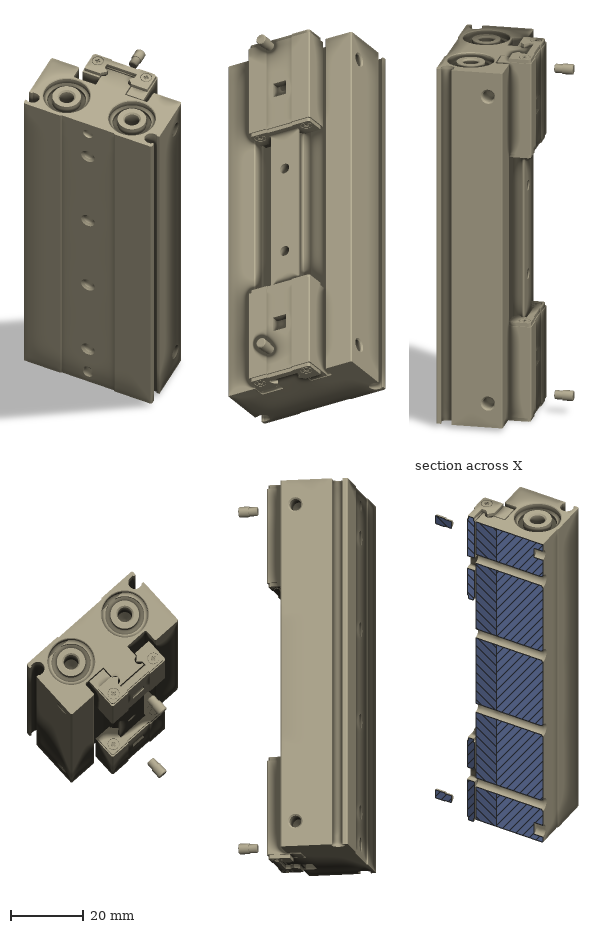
import cadquery as cq
import math


total_length = 106.0
plate_thickness = 1.1
housing_length = total_length - 2 * plate_thickness

housing_width = 40.0
housing_height = 19.0
foot_width = 39.4
foot_fillet = 0.5
edge_chamfer = 0.3
channel_width = 22.7
channel_floor = 14.9
channel_fillet = 0.5
seat_rise = 0.3
seat_height = channel_floor + seat_rise
relief_width = 16.5
relief_depth = 0.3

groove_mouth_top = 4.5
groove_mouth_bottom = 1.5
groove_lip = 1.0
groove_diameter = 3.7
groove_center_x = 18.1

bore_spacing = 20.0
bore_height = 7.7
bore_diameter = 13.0
bore_chamfer = 0.2
recess_depth = 2.8
ring_inner_diameter = 10.8
ring_thickness = 1.0
ring_end_drop = 5.3
boss_diameter = 8.0
boss_setback = 0.4
boss_hole_diameter = 4.1
boss_hole_mouth = 5.0
boss_hole_depth = 7.4

bolt_pitch = 26.0
bolt_diameter = 3.0
bolt_mouth = 4.1
locator_offset = 48.0
locator_diameter = 3.0
locator_slot_length = 3.9
locator_depth = 3.2
port_offset = 44.9
port_height = 14.8
port_diameter = 3.3
port_mouth = 4.1
port_depth = 5.3
drill_tip_angle = 118.0

rail_width = 8.9
rail_top = 21.8
rail_groove_radius = 1.3
rail_groove_height = 19.9

carriage_length = 28.8
block_width = 19.9
block_top = 24.9
block_chamfer = 0.3
block_opening_width = 9.5
block_opening_top = 22.2
short_leg_bottom = 17.8
plate_width = 19.3
plate_top = 24.6
plate_bottom = 18.4
plate_chamfer = 0.5
plate_opening_width = 9.2
plate_opening_top = 22.5
tooth_reach = 1.2
tooth_half_height = 1.2
top_dip_width = 8.1
top_dip_depth = 0.3
screw_spacing = 14.8
screw_height = 22.5
screw_seat_diameter = 3.3
screw_head_diameter = 3.0
screw_seat_depth = 0.4
cross_length = 1.5
cross_width = 0.5
window_width = 4.2
window_length = 4.2

pin_top = 34.8
pin_offset = 47.8
pin_head_diameter = 3.0
pin_head_length = 3.0
pin_tip_diameter = 2.5
pin_tip_length = 2.3
pin_chamfer = 0.2

housing_end = housing_length / 2
carriage_end = total_length / 2
carriage_start = carriage_end - carriage_length
bolt_positions = [(i - 1.5) * bolt_pitch for i in range(4)]


def block(width, y_low, y_high, z_low, z_high):
    """A box centred on X = 0 between the given Y and Z limits."""
    return (
        cq.Workplane("XY")
        .box(width, y_high - y_low, z_high - z_low, centered=(True, False, False))
        .translate((0, y_low, z_low))
    )


def rod(diameter, length, start, direction):
    """A plain cylinder that begins at start and runs along direction."""
    return cq.Workplane(cq.Solid.makeCylinder(diameter / 2, length, cq.Vector(*start), cq.Vector(*direction)))


def cone(diameter_1, diameter_2, length, start, direction):
    """A cone that begins at start with diameter_1 and runs along direction."""
    return cq.Workplane(
        cq.Solid.makeCone(diameter_1 / 2, diameter_2 / 2, length, cq.Vector(*start), cq.Vector(*direction))
    )


def countersink(mouth, diameter, start, direction):
    """A 45 degree conical mouth."""
    return cone(mouth, diameter, (mouth - diameter) / 2, start, direction)


def drilled_hole(diameter, mouth, depth, start, direction):
    """A blind hole with a chamfered mouth and a conical drill tip."""
    tip_length = diameter / 2 / math.tan(math.radians(drill_tip_angle / 2))
    tip_start = [s + depth * d for s, d in zip(start, direction)]
    hole = rod(diameter, depth, start, direction)
    hole = hole.union(cone(diameter, 0, tip_length, tip_start, direction))
    return hole.union(countersink(mouth, diameter, start, direction))


def make_housing_profile():
    """Full-length body with the slide channel, rail seat, mounting relief and sensor grooves."""
    body = block(housing_width, 0, housing_height, -housing_end, housing_end)
    channel = block(channel_width, channel_floor, housing_height, -housing_end, housing_end)
    body = body.cut(channel.edges("|Z and <Y").fillet(channel_fillet))
    body = body.edges("|Z and >Y").chamfer(edge_chamfer)
    body = body.union(block(rail_width, channel_floor, seat_height, -housing_end, housing_end))

    relief = (
        cq.Workplane("XY", origin=(0, 0, -housing_end))
        .moveTo(-relief_width / 2, 0)
        .lineTo(-relief_width / 2 + relief_depth, relief_depth)
        .lineTo(relief_width / 2 - relief_depth, relief_depth)
        .lineTo(relief_width / 2, 0)
        .close()
        .extrude(housing_length)
    )
    body = body.cut(relief)

    half_width = housing_width / 2
    lobe_depth = half_width - groove_lip - groove_center_x
    groove_radius = groove_diameter / 2
    ends = (-housing_end, housing_end)
    foot_setback = (housing_width - foot_width) / 2
    groove_middle = (groove_mouth_top + groove_mouth_bottom) / 2
    for side in (-1, 1):
        outer_face = side * half_width
        mouth = block(2 * (half_width - groove_center_x), groove_mouth_bottom, groove_mouth_top, *ends)
        body = body.cut(mouth.translate((outer_face, 0, 0)))
        setback = block(2 * foot_setback, 0, groove_mouth_bottom, *ends)
        body = body.cut(setback.translate((outer_face, 0, 0)))
        lobe = block(lobe_depth, groove_middle - groove_radius, groove_middle + groove_radius, *ends)
        body = body.cut(lobe.translate((side * (groove_center_x + lobe_depth / 2), 0, 0)))
        start = (side * groove_center_x, groove_middle, -housing_end)
        body = body.cut(rod(groove_diameter, housing_length, start, (0, 0, 1)))

    for side in (-1, 1):
        edge_point = (side * foot_width / 2, 0, 0)
        body = body.edges(cq.selectors.NearestToPointSelector(edge_point)).fillet(foot_fillet)
    return body


def add_plug(body, x):
    """Recess at the upper end of a bore, with its retaining ring and drilled boss."""
    floor = housing_end - recess_depth
    down = (0, 0, -1)
    top = (x, bore_height, housing_end)
    body = body.cut(rod(bore_diameter, recess_depth, top, down))
    body = body.cut(countersink(bore_diameter + 2 * bore_chamfer, bore_diameter, top, down))

    bottom = (x, bore_height, floor)
    ring = rod(bore_diameter, ring_thickness, bottom, (0, 0, 1))
    ring = ring.cut(rod(ring_inner_diameter, ring_thickness, bottom, (0, 0, 1)))
    gap_top = bore_height - ring_end_drop
    gap = block(bore_diameter, gap_top - bore_diameter, gap_top, floor, housing_end).translate((x, 0, 0))
    body = body.union(ring.cut(gap))

    boss_top = (x, bore_height, housing_end - boss_setback)
    body = body.union(rod(boss_diameter, recess_depth - boss_setback, bottom, (0, 0, 1)))
    return body.cut(drilled_hole(boss_hole_diameter, boss_hole_mouth, boss_hole_depth, boss_top, down))


def make_housing():
    body = make_housing_profile()
    for side in (-1, 1):
        body = add_plug(body, side * bore_spacing / 2)

    for z in bolt_positions:
        body = body.cut(rod(bolt_diameter, seat_height, (0, 0, z), (0, 1, 0)))
        body = body.cut(countersink(bolt_mouth, bolt_diameter, (0, relief_depth, z), (0, 1, 0)))

    body = body.cut(rod(locator_diameter, locator_depth, (0, 0, locator_offset), (0, 1, 0)))
    locator_slot = (
        cq.Workplane("XZ", origin=(0, 0, -locator_offset))
        .slot2D(locator_slot_length, locator_diameter, 90)
        .extrude(-locator_depth)
    )
    body = body.cut(locator_slot)

    for side in (-1, 1):
        for z in (-port_offset, port_offset):
            start = (side * housing_width / 2, port_height, z)
            body = body.cut(drilled_hole(port_diameter, port_mouth, port_depth, start, (-side, 0, 0)))
    return body


def make_rail():
    rail = block(rail_width, seat_height, rail_top, -housing_end, housing_end)
    for side in (-1, 1):
        start = (side * rail_width / 2, rail_groove_height, -housing_end)
        rail = rail.cut(rod(2 * rail_groove_radius, housing_length, start, (0, 0, 1)))
    for z in bolt_positions:
        rail = rail.cut(rod(bolt_diameter, rail_top, (0, 0, z), (0, 1, 0)))
    return rail


def make_end_plate(z_low):
    """Plate at one end of a carriage, with teeth that reach into the rail grooves."""
    z_high = z_low + plate_thickness
    plate = block(plate_width, plate_bottom, plate_top, z_low, z_high)
    plate = plate.edges("|Z and >Y").chamfer(plate_chamfer)
    plate = plate.cut(block(plate_opening_width, plate_bottom, plate_opening_top, z_low, z_high))
    plate = plate.cut(block(top_dip_width, plate_top - top_dip_depth, plate_top, z_low, z_high))
    for side in (-1, 1):
        root = side * plate_opening_width / 2
        tip = side * (rail_width / 2 - tooth_reach)
        tooth = (
            cq.Workplane("XY", origin=(0, 0, z_low))
            .moveTo(root, rail_groove_height - tooth_half_height)
            .lineTo(tip, rail_groove_height)
            .lineTo(root, rail_groove_height + tooth_half_height)
            .close()
            .extrude(plate_thickness)
        )
        plate = plate.union(tooth)
    return plate


def cut_screw(carriage, x, face, inward):
    """Screw head in an end plate: a ring groove around the head and a cross recess in it."""
    start = (x, screw_height, face)
    direction = (0, 0, inward)
    groove = rod(screw_seat_diameter, screw_seat_depth, start, direction)
    groove = groove.cut(rod(screw_head_diameter, screw_seat_depth, start, direction))
    carriage = carriage.cut(groove)
    for size in ((cross_length, cross_width), (cross_width, cross_length)):
        slot = cq.Workplane("XY").box(*size, 2 * screw_seat_depth).translate(start)
        carriage = carriage.cut(slot)
    return carriage


def make_carriage(end):
    """Carriage at the upper (end = 1) or lower (end = -1) end of the rail."""
    z_low = carriage_start + plate_thickness
    z_high = carriage_end - plate_thickness
    carriage = block(block_width, seat_height, block_top, z_low, z_high)
    carriage = carriage.edges("|Z and >Y").chamfer(block_chamfer)
    carriage = carriage.cut(block(block_opening_width, seat_height, block_opening_top, z_low, z_high))
    carriage = carriage.cut(block(top_dip_width, block_top - top_dip_depth, block_top, z_low, z_high))

    short_side = block(block_width / 2, seat_height, short_leg_bottom, z_low, z_high)
    carriage = carriage.cut(short_side.translate((-block_width / 4, 0, 0)))

    window_end = bolt_positions[-1]
    carriage = carriage.cut(
        block(window_width, block_opening_top, block_top, window_end - window_length, window_end)
    )

    carriage = carriage.union(make_end_plate(carriage_start)).union(make_end_plate(z_high))
    for side in (-1, 1):
        x = side * screw_spacing / 2
        carriage = cut_screw(carriage, x, carriage_end, -1)
        carriage = cut_screw(carriage, x, carriage_start, 1)
    return carriage if end > 0 else carriage.rotate((0, 0, 0), (0, 1, 0), 180)


def make_pin(z):
    """Stepped pin along Y, its wide end farthest from the housing."""
    tip_start = pin_top - pin_head_length - pin_tip_length
    pin = cq.Workplane("XZ", origin=(0, pin_top, z)).circle(pin_head_diameter / 2).extrude(pin_head_length)
    pin = pin.faces(">Y").chamfer(pin_chamfer)
    tip = cq.Workplane("XZ", origin=(0, tip_start, z)).circle(pin_tip_diameter / 2).extrude(-pin_tip_length)
    return pin.union(tip.faces("<Y").chamfer(pin_chamfer))


housing = make_housing()
rail = make_rail()
carriages = [make_carriage(end) for end in (-1, 1)]
pins = [make_pin(end * pin_offset) for end in (-1, 1)]

result = cq.Compound.makeCompound(
    [housing.val(), rail.val(), *[carriage.val() for carriage in carriages], *[pin.val() for pin in pins]]
)